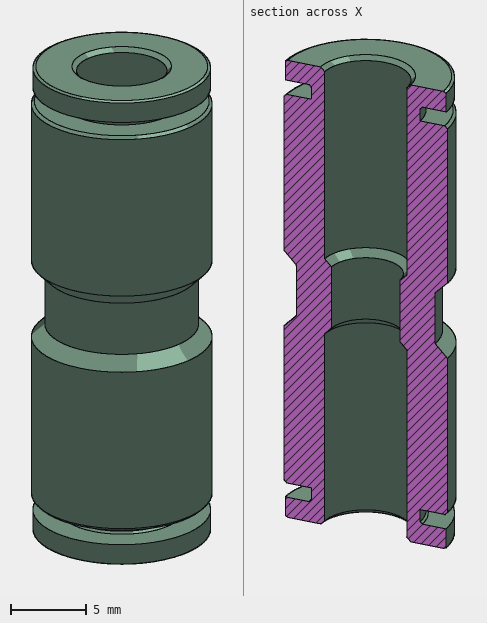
import cadquery as cq

total_length = 33.5
body_diameter = 12.0
waist_diameter = 10.2
collar_diameter = 11.8
neck_diameter = 8.0
tube_diameter = 6.0
bore_diameter = 5.0

collar_thickness = 1.5
collar_gap = 1.0
waist_length = 3.7
seat_depth = 14.0

collar_chamfer_width = 0.2
collar_chamfer_height = 0.1
body_chamfer = 0.2
mouth_chamfer = 0.3
neck_flare = 0.15
seat_taper_length = 0.5

body_radius = body_diameter / 2
waist_radius = waist_diameter / 2
collar_radius = collar_diameter / 2
neck_radius = neck_diameter / 2
tube_radius = tube_diameter / 2
bore_radius = bore_diameter / 2

half_length = total_length / 2
collar_bottom = half_length - collar_thickness
body_top = collar_bottom - collar_gap
waist_top = waist_length / 2
shoulder_top = waist_top + body_radius - waist_radius
seat_top = half_length - seat_depth
seat_bottom = seat_top - seat_taper_length

upper_section = [
    (waist_radius, waist_top),
    (body_radius, shoulder_top),
    (body_radius, body_top - body_chamfer),
    (body_radius - body_chamfer, body_top),
    (neck_radius, body_top),
    (neck_radius, collar_bottom - neck_flare),
    (neck_radius + neck_flare, collar_bottom),
    (collar_radius, collar_bottom),
    (collar_radius, half_length - collar_chamfer_height),
    (collar_radius - collar_chamfer_width, half_length),
    (tube_radius + mouth_chamfer, half_length),
    (tube_radius, half_length - mouth_chamfer),
    (tube_radius, seat_top),
    (bore_radius, seat_bottom),
]


def make_union():
    """Revolve the section and its mirror image about the Z axis as one closed outline."""
    lower_section = [(radius, -height) for radius, height in reversed(upper_section)]
    outline = cq.Workplane("XZ").polyline(upper_section + lower_section).close()
    return outline.revolve(360, (0, 0, 0), (0, 1, 0))


result = make_union()